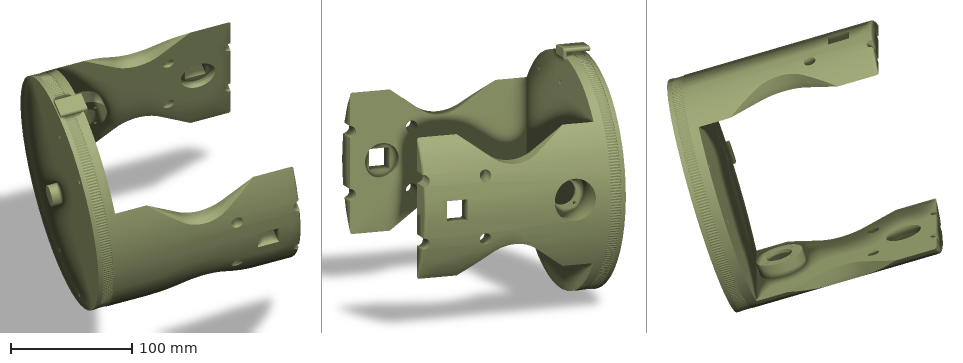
import cadquery as cq
import math


outer_diameter = 200.0
outer_radius = outer_diameter / 2
disc_thickness = 21.0
arm_end_y = 176.0
arm_inner_x = 80.0
arm_half_height = math.sqrt(outer_radius**2 - arm_inner_x**2)
arm_end_fillet = 2.0

cut_clearance = 1.0

tooth_count = 260
tooth_phase = 0.75
band_start_y = 4.0
band_width = 9.0
tooth_tip_radius = 99.6
tooth_depth = 0.4

stub_diameter = 18.0
stub_length = 9.0
disc_hole_diameter = 4.0
disc_hole_x_positions = (0.0, 50.0)
disc_hole_z = 75.0

waist_center_y = 94.6
waist_half_width = 46.4
waist_vee_depth = 33.7
waist_radius = 33.0

arm_hole_diameter = 10.0
arm_hole_end_y = 175.7
arm_hole_pitch_y = 54.0
arm_hole_pitch_z = 53.5
square_y = 147.7
square_side = 18.0
recess_diameter = 30.0
recess_depth = 7.0

motor_y = 44.3
motor_boss_diameter = 40.0
motor_boss_inner_x = -68.0
motor_bore_diameter = 36.0
motor_floor_thickness = 3.0
motor_pilot_diameter = 22.0
motor_screw_diameter = 3.05
motor_screw_pitch = 20.0

tab_width = 18.0
tab_center_x = -6.0
tab_top_z = 106.64
tab_thickness = 4.0
tab_leg_thickness = 2.4
tab_leg_bottom_z = 97.3
tab_leg_fillet = 2.0
tab_edge_fillet = 0.499 * tab_thickness


def box(x_range, y_range, z_range):
    """Box spanning the given (low, high) ranges."""
    size = [high - low for low, high in (x_range, y_range, z_range)]
    return cq.Workplane("XY").box(*size, centered=False).translate((x_range[0], y_range[0], z_range[0]))


def cylinder_y(diameter, start_y, end_y, x=0.0, z=0.0):
    """Cylinder along Y."""
    axis_start = cq.Vector(x, start_y, z)
    return cq.Workplane(cq.Solid.makeCylinder(diameter / 2, end_y - start_y, axis_start, cq.Vector(0, 1, 0)))


def cylinder_x(diameter, start_x, end_x, y, z=0.0):
    """Cylinder along X."""
    axis_start = cq.Vector(start_x, y, z)
    return cq.Workplane(cq.Solid.makeCylinder(diameter / 2, end_x - start_x, axis_start, cq.Vector(1, 0, 0)))


def make_drum():
    """Disc with two arms, each a segment of the same cylinder, rounded at the free end."""
    drum = cylinder_y(outer_diameter, 0, arm_end_y).faces(">Y").edges().fillet(arm_end_fillet)
    gap = box(
        (-arm_inner_x, arm_inner_x),
        (disc_thickness, arm_end_y),
        (-outer_radius, outer_radius),
    )
    return drum.cut(gap)


def make_band_cutter():
    """Ring whose inner outline is the vee-toothed profile of the band."""
    root_radius = tooth_tip_radius - tooth_depth
    pitch_angle = 2 * math.pi / tooth_count
    corners = ((tooth_tip_radius, 0.0), (root_radius, pitch_angle / 2))
    outline = []
    for tooth in range(tooth_count):
        for radius, offset in corners:
            angle = (tooth + tooth_phase) * pitch_angle + offset
            outline.append((radius * math.cos(angle), radius * math.sin(angle)))
    band_end_y = band_start_y + band_width
    toothed = cq.Workplane("XZ", origin=(0, band_end_y, 0)).polyline(outline).close().extrude(band_width)
    return cylinder_y(outer_diameter + 2 * cut_clearance, band_start_y, band_end_y).cut(toothed)


def make_waist_cutter(side):
    """Rounded vee through both arms at the upper (side = 1) or lower (side = -1) edge."""
    slope = waist_vee_depth / waist_half_width
    top_half_width = waist_half_width + cut_clearance / slope
    top_z = arm_half_height + cut_clearance
    vee = (
        cq.Workplane("YZ", origin=(-outer_radius, 0, 0))
        .moveTo(waist_center_y - top_half_width, side * top_z)
        .lineTo(waist_center_y, side * (arm_half_height - waist_vee_depth))
        .lineTo(waist_center_y + top_half_width, side * top_z)
        .close()
        .extrude(outer_diameter)
    )
    apex = "<Z" if side > 0 else ">Z"
    return vee.edges(apex).fillet(waist_radius)


def cut_arm_pattern(body):
    """Four round holes around a square opening, through both arms, with round recesses inside."""
    for y in (arm_hole_end_y, arm_hole_end_y - arm_hole_pitch_y):
        for z in (-arm_hole_pitch_z / 2, arm_hole_pitch_z / 2):
            body = body.cut(cylinder_x(arm_hole_diameter, -outer_radius, outer_radius, y, z))
    half_side = square_side / 2
    body = body.cut(
        box(
            (-outer_radius, outer_radius),
            (square_y - half_side, square_y + half_side),
            (-half_side, half_side),
        )
    )
    recess_reach = arm_inner_x + recess_depth
    return body.cut(cylinder_x(recess_diameter, -recess_reach, recess_reach, square_y))


def add_motor_mount(body):
    """Inward boss on the -X arm, bored from outside to a thin floor with pilot and screw holes."""
    floor_outer_x = motor_boss_inner_x - motor_floor_thickness
    boss_start_x = -arm_inner_x - cut_clearance
    body = body.union(cylinder_x(motor_boss_diameter, boss_start_x, motor_boss_inner_x, motor_y))
    body = body.cut(cylinder_x(motor_bore_diameter, -outer_radius, floor_outer_x, motor_y))
    body = body.cut(cylinder_x(motor_pilot_diameter, floor_outer_x, motor_boss_inner_x, motor_y))
    half_pitch = motor_screw_pitch / 2
    for y in (motor_y - half_pitch, motor_y + half_pitch):
        for z in (-half_pitch, half_pitch):
            body = body.cut(cylinder_x(motor_screw_diameter, floor_outer_x, motor_boss_inner_x, y, z))
    return body


def cut_disc_holes(body):
    """Two pairs of small holes through the disc, above and below its axis."""
    for x in disc_hole_x_positions:
        for z in (-disc_hole_z, disc_hole_z):
            body = body.cut(cylinder_y(disc_hole_diameter, 0, disc_thickness, x, z))
    return body


def make_tab():
    """Round-edged bar above the toothed band, carried by a leg on the disc's rear face."""
    x_range = (tab_center_x - tab_width / 2, tab_center_x + tab_width / 2)
    rear_y = disc_thickness + tab_leg_thickness
    bar = box(x_range, (0, rear_y), (tab_top_z - tab_thickness, tab_top_z)).edges("|Y").fillet(tab_edge_fillet)
    leg_top_z = tab_top_z - tab_thickness / 2
    leg = box(x_range, (disc_thickness, rear_y), (tab_leg_bottom_z, leg_top_z))
    leg = leg.edges("|X and >Y and <Z").fillet(tab_leg_fillet)
    return bar.union(leg)


body = make_drum()
body = body.cut(make_band_cutter())
for side in (1, -1):
    body = body.cut(make_waist_cutter(side))
body = cut_arm_pattern(body)
body = add_motor_mount(body)
body = cut_disc_holes(body)
body = body.union(cylinder_y(stub_diameter, -stub_length, 0))
result = body.union(make_tab())